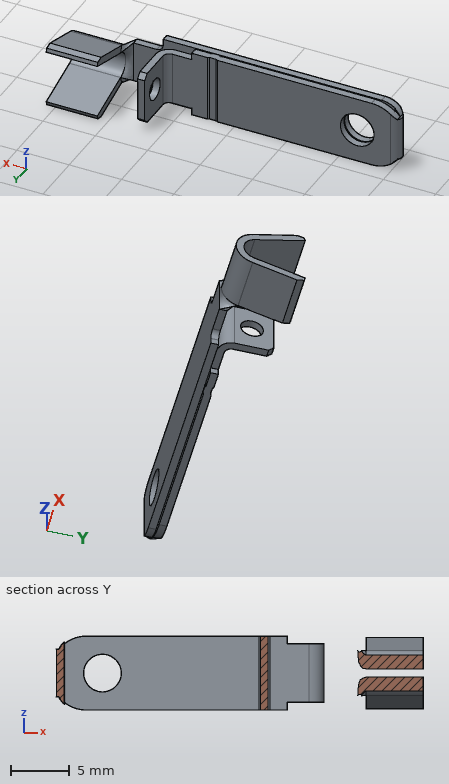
import cadquery as cq
import math


length = 31.35
sheet = 0.7
gap = 0.13
stack = 2 * sheet + gap
fold_radius = stack / 2
fold_half_width = 2.05

blade_half_width = 3.15
blade_end = 22.88
hole_x = 3.95
hole_diameter = 3.2
front_corner_radius = 2.0
front_corner_end = 2.0
back_corner_radius = 3.0
back_corner_end = 2.57

dip_start = 17.3
dip_end = 18.25
dip_slope = 0.15
dip_depth = 0.1

tab_half_width = 2.5
tab_start = 19.75
tab_height = 5.58
tab_bend_radius = 0.6
tab_chamfer = 0.47
tab_hole_diameter = 2.0
tab_hole_y = 3.65

neck_half_width = 1.95
neck_fillet = 0.6
neck_end = 25.7
barrel_start = 26.45
barrel_radius = 2.0
flare_angle = math.radians(16)
wing_length = 4.65
wing_bevel_length = 0.55
wing_bevel_depth = 0.3


def extrude_along_y(sketch, y_start, y_end):
    """Extrude a sketch drawn on XZ from y_start to y_end."""
    return sketch.extrude(-(y_end - y_start)).translate((0, y_start, 0))


def cylinder_along_y(x, diameter, depth):
    return extrude_along_y(cq.Workplane("XZ").center(x, 0).circle(diameter / 2), 0, depth)


def layer_outline(corner_radius, corner_end, body_end, tail_half_width, tail_end):
    """Flat outline of one layer: rounded corners at the fold, a narrower tail at the far end."""
    centre_z = blade_half_width - corner_radius
    corner_start = corner_end - math.sqrt(corner_radius**2 - (fold_half_width - centre_z) ** 2)
    return (
        cq.Workplane("XZ")
        .moveTo(0, -fold_half_width)
        .lineTo(corner_start, -fold_half_width)
        .radiusArc((corner_end, -blade_half_width), -corner_radius)
        .lineTo(body_end, -blade_half_width)
        .lineTo(body_end, -tail_half_width)
        .lineTo(tail_end, -tail_half_width)
        .lineTo(tail_end, tail_half_width)
        .lineTo(body_end, tail_half_width)
        .lineTo(body_end, blade_half_width)
        .lineTo(corner_end, blade_half_width)
        .radiusArc((corner_start, fold_half_width), -corner_radius)
        .lineTo(0, fold_half_width)
        .close()
    )


def make_strip_profile():
    """Folded strip seen along Z: front layer, fold, back layer and tab."""
    back_inner = sheet + gap
    outer_bend = tab_bend_radius + sheet
    diagonal = 1 - math.sqrt(0.5)
    tab_inner = blade_end - sheet
    return (
        cq.Workplane("XY")
        .moveTo(neck_end, 0)
        .lineTo(fold_radius, 0)
        .threePointArc((0, fold_radius), (fold_radius, stack))
        .lineTo(dip_start, stack)
        .lineTo(dip_start + dip_slope, stack - dip_depth)
        .lineTo(dip_end - dip_slope, stack - dip_depth)
        .lineTo(dip_end, stack)
        .lineTo(tab_inner - tab_bend_radius, stack)
        .threePointArc(
            (tab_inner - diagonal * tab_bend_radius, stack + diagonal * tab_bend_radius),
            (tab_inner, stack + tab_bend_radius),
        )
        .lineTo(tab_inner, tab_height)
        .lineTo(blade_end, tab_height)
        .lineTo(blade_end, back_inner + outer_bend)
        .threePointArc(
            (blade_end - diagonal * outer_bend, back_inner + diagonal * outer_bend),
            (blade_end - outer_bend, back_inner),
        )
        .lineTo(dip_end, back_inner)
        .lineTo(dip_end - dip_slope, back_inner - dip_depth)
        .lineTo(dip_start + dip_slope, back_inner - dip_depth)
        .lineTo(dip_start, back_inner)
        .lineTo(fold_radius, back_inner)
        .threePointArc((fold_radius - gap / 2, fold_radius), (fold_radius, sheet))
        .lineTo(neck_end, sheet)
        .close()
    )


def make_folded_strip():
    front_outline = layer_outline(
        front_corner_radius, front_corner_end, blade_end, neck_half_width, neck_end
    )
    back_outline = layer_outline(
        back_corner_radius, back_corner_end, tab_start, tab_half_width, blade_end
    )
    front_block = extrude_along_y(front_outline, 0, fold_radius)
    for side in (-1, 1):
        neck_corner = (blade_end, fold_radius / 2, side * neck_half_width)
        front_block = front_block.edges(cq.NearestToPointSelector(neck_corner)).fillet(neck_fillet)
    back_block = extrude_along_y(back_outline, fold_radius, tab_height)
    strip = make_strip_profile().extrude(blade_half_width, both=True)
    strip = strip.intersect(front_block.union(back_block))

    strip = strip.faces(">Y").edges("|X").chamfer(tab_chamfer)
    strip = strip.cut(cylinder_along_y(hole_x, hole_diameter, stack))
    tab_hole = (
        cq.Workplane("YZ", origin=(tab_start, 0, 0))
        .center(tab_hole_y, 0)
        .circle(tab_hole_diameter / 2)
        .extrude(blade_end - tab_start)
    )
    return strip.cut(tab_hole)


def barrel_point(radius, side):
    """(Y, Z) end of a barrel arc, where the flared wing starts; side is +1 or -1 in Z."""
    return (
        barrel_radius - radius * math.sin(flare_angle),
        side * radius * math.cos(flare_angle),
    )


def make_arc_section(x):
    """Curved bottom of the barrel, as a closed outline at a given X."""
    inner_radius = barrel_radius - sheet
    return (
        cq.Workplane("YZ", origin=(x, 0, 0))
        .moveTo(*barrel_point(barrel_radius, -1))
        .threePointArc((0, 0), barrel_point(barrel_radius, 1))
        .lineTo(*barrel_point(inner_radius, 1))
        .threePointArc((sheet, 0), barrel_point(inner_radius, -1))
        .close()
    )


def make_neck_section():
    return (
        cq.Workplane("YZ", origin=(neck_end, 0, 0))
        .moveTo(0, -neck_half_width)
        .lineTo(0, neck_half_width)
        .lineTo(sheet, neck_half_width)
        .lineTo(sheet, -neck_half_width)
        .close()
    )


def make_transition():
    """Ruled change from the flat neck to the curved barrel."""
    neck_wire = make_neck_section().val()
    barrel_wire = make_arc_section(barrel_start).val()
    faces = [cq.Face.makeFromWires(neck_wire), cq.Face.makeFromWires(barrel_wire)]
    for neck_edge, barrel_edge in zip(neck_wire.Edges(), barrel_wire.Edges()):
        faces.append(cq.Face.makeRuledSurface(neck_edge, barrel_edge))
    return cq.Workplane(cq.Solid.makeSolid(cq.Shell.makeShell(faces)))


def make_wing(side):
    """Straight flared wing with its outer corner bevelled."""
    start_y, start_z = barrel_point(barrel_radius, side)

    def wing_point(along, depth):
        """Point at a distance along the wing and a depth below its outer face."""
        y = start_y + along * math.cos(flare_angle) + depth * math.sin(flare_angle)
        z = start_z + side * (along * math.sin(flare_angle) - depth * math.cos(flare_angle))
        return (y, z)

    corners = [
        wing_point(0, 0),
        wing_point(wing_length - wing_bevel_length, 0),
        wing_point(wing_length, wing_bevel_depth),
        wing_point(wing_length, sheet),
        wing_point(0, sheet),
    ]
    section = cq.Workplane("YZ", origin=(barrel_start, 0, 0)).polyline(corners).close()
    return section.extrude(length - barrel_start)


barrel = make_arc_section(barrel_start).extrude(length - barrel_start)
for wing_side in (-1, 1):
    barrel = barrel.union(make_wing(wing_side))

result = make_folded_strip().union(make_transition()).union(barrel)